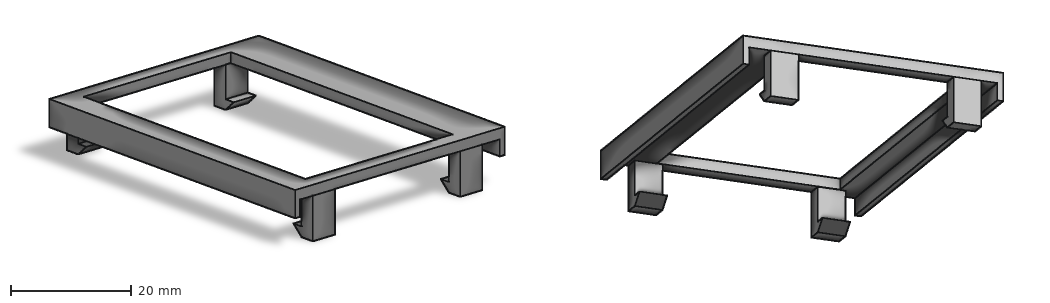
import cadquery as cq

LENGTH = 61.0
WIDTH = 47.0
PLATE_THICKNESS = 1.95

SIDE_BORDER = 3.0
FRONT_BORDER = 5.0
BACK_BORDER = 8.95

LIP_HEIGHT = 3.05
LIP_THICKNESS = 1.1

OVERALL_HEIGHT = 10.0
CLIP_HEIGHT = OVERALL_HEIGHT - PLATE_THICKNESS
CLIP_WIDTH = 5.0
CLIP_THICKNESS = 2.8
HOOK_REACH = 2.0
HOOK_HEIGHT = 1.9
FRONT_CLIP_INSET = 3.95
BACK_CLIP_INSET = 5.0


def make_frame():
    """Flat rectangular frame with a lip along its front and back edges."""
    plate = cq.Workplane("XY").box(LENGTH, WIDTH, PLATE_THICKNESS, centered=(True, True, False))
    window = (
        cq.Workplane("XY")
        .center(0, (FRONT_BORDER - BACK_BORDER) / 2)
        .rect(LENGTH - 2 * SIDE_BORDER, WIDTH - FRONT_BORDER - BACK_BORDER)
        .extrude(PLATE_THICKNESS)
    )
    lip_offset = (WIDTH - LIP_THICKNESS) / 2
    lips = (
        cq.Workplane("XY")
        .pushPoints([(0, -lip_offset), (0, lip_offset)])
        .rect(LENGTH, LIP_THICKNESS)
        .extrude(-LIP_HEIGHT)
    )
    return plate.cut(window).union(lips, clean=False)


def make_clip(side, front_face):
    """Clip with an inward hook; side is -1 for left or 1 for right."""
    outer = side * LENGTH / 2
    inner = outer - side * CLIP_THICKNESS
    tip = inner - side * HOOK_REACH
    hook_top = HOOK_HEIGHT - CLIP_HEIGHT
    return (
        cq.Workplane("XZ", origin=(0, front_face, 0))
        .polyline([
            (outer, 0),
            (inner, 0),
            (inner, hook_top),
            (tip, hook_top),
            (inner, -CLIP_HEIGHT),
            (outer, -CLIP_HEIGHT),
        ])
        .close()
        .extrude(-CLIP_WIDTH)
    )


frame = make_frame().solids()

clip_front_faces = [
    -WIDTH / 2 + FRONT_CLIP_INSET,
    WIDTH / 2 - BACK_CLIP_INSET - CLIP_WIDTH,
]
clips = []
for clip_side in (-1, 1):
    for clip_front_face in clip_front_faces:
        clips.append(make_clip(clip_side, clip_front_face).val())

result = cq.Compound.makeCompound([frame.val(), *clips])